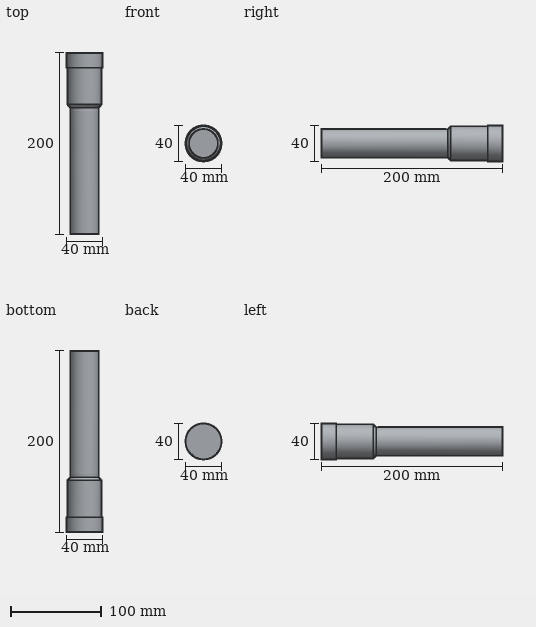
import cadquery as cq

collar_radius = 20.0
sleeve_radius = 19.0
shank_radius = 16.0
neck_depth = 0.1
neck_radius = shank_radius - neck_depth

total_length = 200.0
collar_length = 16.5
sleeve_end = 57.0
taper_length = 3.5
neck_length = 2.5
neck_runout = 0.5

collar_face = total_length / 2
shank_face = -total_length / 2
collar_back = collar_face - collar_length
taper_start = collar_face - sleeve_end
neck_start = taper_start - taper_length
neck_end = neck_start - neck_length
shank_start = neck_end - neck_runout

result = (
    cq.Workplane("XY")
    .moveTo(0, shank_face)
    .lineTo(shank_radius, shank_face)
    .lineTo(shank_radius, shank_start)
    .lineTo(neck_radius, neck_end)
    .lineTo(neck_radius, neck_start)
    .lineTo(sleeve_radius, taper_start)
    .lineTo(sleeve_radius, collar_back)
    .lineTo(collar_radius, collar_back)
    .lineTo(collar_radius, collar_face)
    .lineTo(0, collar_face)
    .close()
    .revolve(360, (0, 0, 0), (0, 1, 0))
)